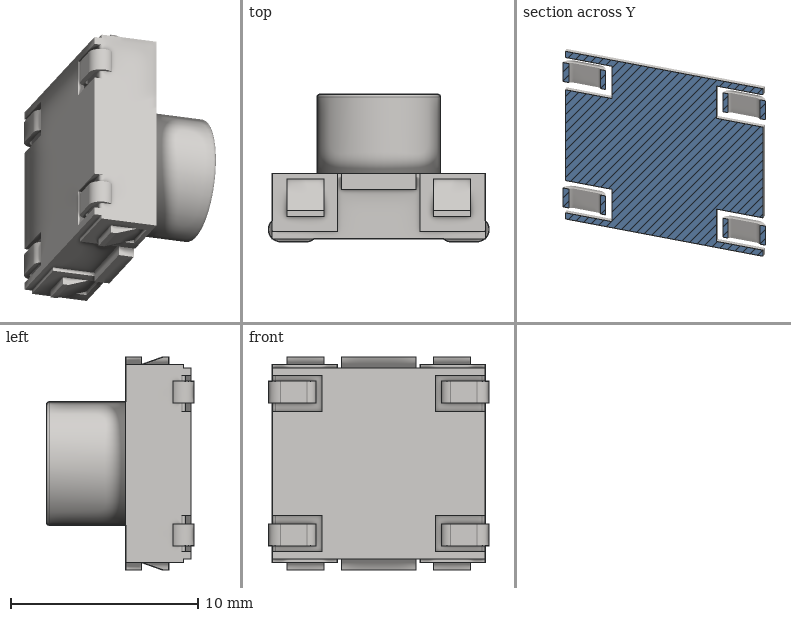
import cadquery as cq
import math

housing_width = 11.4
housing_depth = 3.5
overall_height = 11.4
lug_projection = 0.4
pad_thickness = 0.19
pad_top = overall_height / 2 - lug_projection
core_top = pad_top - pad_thickness
half_width = housing_width / 2

pad_length = 3.49
pad_setback = 0.4

lug_length = 4.0
lug_depth = 0.85

catch_length = 2.0
catch_depth = 2.02
catch_side_inset = 0.79
catch_end_inset = 0.3
crest_depth = 0.32
ramp_angle = 19.5

button_diameter = 6.61
button_length = 4.24
button_edge_radius = 0.17

pocket_length = 2.68
pocket_height = 1.94
pocket_depth = 0.32
pocket_margin = 0.4
pocket_lip_radius = 0.18

terminal_width = 1.18
terminal_thickness = 0.3
terminal_margin = 0.31
terminal_standoff = 0.15
terminal_length = 2.55
terminal_overhang = 0.2
terminal_root = 0.12
outer_bend_radius = 0.66
inner_bend_radius = 0.48
anchor_angle = 60


def box(x_range, y_range, z_range):
    """Box spanning the given start and end on each axis."""
    ranges = (x_range, y_range, z_range)
    size = [end - start for start, end in ranges]
    corner = tuple(start for start, end in ranges)
    return cq.Workplane("XY").box(*size, centered=False).translate(corner)


def in_four_corners(shape):
    """The shape of the +X, +Z corner repeated in all four corners."""
    right_pair = [shape, shape.mirror("XY")]
    return right_pair + [copy.mirror("YZ") for copy in right_pair]


def make_core():
    return box((-half_width, half_width), (0, housing_depth), (-core_top, core_top))


def make_pad():
    return box((half_width - pad_length, half_width), (pad_setback, housing_depth), (0, pad_top))


def make_lugs():
    return box(
        (-lug_length / 2, lug_length / 2),
        (housing_depth - lug_depth, housing_depth),
        (-overall_height / 2, overall_height / 2),
    )


catch_right = half_width - catch_side_inset
catch_left = catch_right - catch_length
catch_back = housing_depth - catch_end_inset
catch_front = catch_back - catch_depth
crest_end = catch_front + crest_depth
crest_top = overall_height / 2
ramp_foot = crest_top - (catch_back - crest_end) * math.tan(math.radians(ramp_angle))


def make_catch_recess():
    return box((catch_left, catch_right), (catch_front, catch_back), (ramp_foot, crest_top))


def make_catch():
    profile = [
        (catch_front, ramp_foot),
        (catch_front, crest_top),
        (crest_end, crest_top),
        (catch_back, ramp_foot),
    ]
    return cq.Workplane("YZ", origin=(catch_left, 0, 0)).polyline(profile).close().extrude(catch_length)


def make_button():
    return (
        cq.Workplane("XZ", origin=(0, housing_depth + button_length, 0))
        .circle(button_diameter / 2)
        .extrude(button_length)
        .faces(">Y")
        .edges()
        .fillet(button_edge_radius)
    )


pocket_top = core_top - pocket_margin
pocket_bottom = pocket_top - pocket_height


def make_pocket():
    """Pocket open to the side, whose floor rolls over a rounded lip into the side face."""
    lip_start = half_width - pocket_lip_radius
    return (
        cq.Workplane("XY", origin=(0, 0, pocket_bottom))
        .moveTo(half_width - pocket_length, 0)
        .lineTo(half_width - pocket_length, pocket_depth)
        .lineTo(lip_start, pocket_depth)
        .radiusArc((half_width, pocket_depth + pocket_lip_radius), -pocket_lip_radius)
        .lineTo(half_width, 0)
        .close()
        .extrude(pocket_height)
    )


def on_circle(center, radius, degrees):
    angle = math.radians(degrees)
    return (center[0] + radius * math.cos(angle), center[1] + radius * math.sin(angle))


def make_terminal():
    """Strip with one end bent down into the pocket floor and the other curled around into the side."""
    outer_x = half_width + terminal_overhang
    inner_x = outer_x - terminal_length
    root_y = pocket_depth + terminal_root
    outer_center = (outer_x - outer_bend_radius, outer_bend_radius - terminal_standoff)
    inner_center = (inner_x + inner_bend_radius, inner_bend_radius - terminal_standoff)
    outer_inside = outer_bend_radius - terminal_thickness
    inner_inside = inner_bend_radius - terminal_thickness
    return (
        cq.Workplane("XY", origin=(0, 0, pocket_top - terminal_margin - terminal_width))
        .moveTo(inner_x, root_y)
        .lineTo(*on_circle(inner_center, inner_bend_radius, 180))
        .threePointArc(
            on_circle(inner_center, inner_bend_radius, 225),
            on_circle(inner_center, inner_bend_radius, 270),
        )
        .lineTo(*on_circle(outer_center, outer_bend_radius, 270))
        .threePointArc(
            on_circle(outer_center, outer_bend_radius, 0),
            on_circle(outer_center, outer_bend_radius, anchor_angle),
        )
        .lineTo(*on_circle(outer_center, outer_inside, anchor_angle))
        .threePointArc(
            on_circle(outer_center, outer_inside, 0),
            on_circle(outer_center, outer_inside, 270),
        )
        .lineTo(*on_circle(inner_center, inner_inside, 270))
        .threePointArc(
            on_circle(inner_center, inner_inside, 225),
            on_circle(inner_center, inner_inside, 180),
        )
        .lineTo(inner_x + terminal_thickness, root_y)
        .close()
        .extrude(terminal_width)
    )


result = make_core()
for pad in in_four_corners(make_pad()):
    result = result.union(pad)
for recess in in_four_corners(make_catch_recess()):
    result = result.cut(recess)
for pocket in in_four_corners(make_pocket()):
    result = result.cut(pocket)
for catch in in_four_corners(make_catch()):
    result = result.union(catch)
for terminal in in_four_corners(make_terminal()):
    result = result.union(terminal)
result = result.union(make_lugs()).union(make_button())